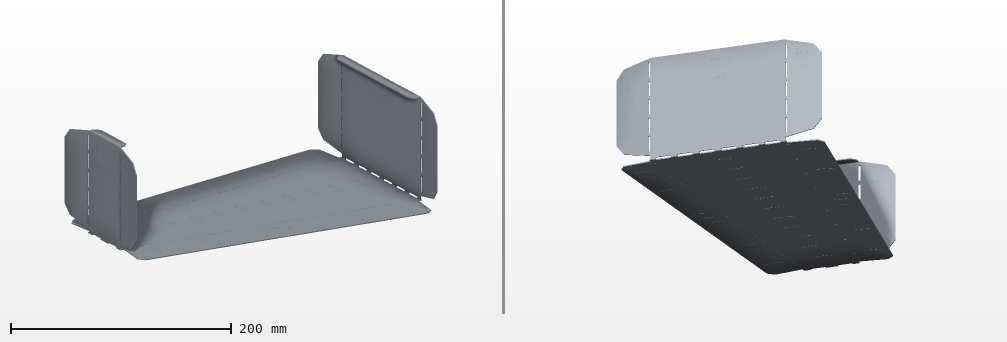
import cadquery as cq
import math


THICKNESS = 1.0
KNOCKOUT_DEPTH = 0.1
TAPER = 7.5
SIN_TAPER = math.sin(math.radians(TAPER))
COS_TAPER = math.cos(math.radians(TAPER))
TAN_TAPER = math.tan(math.radians(TAPER))

OVERALL_WIDTH = 198.21
OVERALL_LENGTH = 303.96
OVERALL_HEIGHT = 99.66
WALL_HEIGHT = OVERALL_HEIGHT - KNOCKOUT_DEPTH

WING_WIDTH = 33.3
WIDE_HALF = OVERALL_WIDTH / 2 - WING_WIDTH * COS_TAPER
LENGTH = OVERALL_LENGTH - WING_WIDTH * SIN_TAPER
NARROW_HALF = WIDE_HALF - LENGTH * TAN_TAPER
HINGE_LENGTH = LENGTH / COS_TAPER
HINGE_MIDDLE_X = (WIDE_HALF + NARROW_HALF) / 2

SLIT_WIDTH = 2.0
SLIT_LENGTH = 14.5
SLIT_PITCH = 18.0
WIDE_FOLD_SLIT_PITCH = 21.1
NARROW_FOLD_SLIT_PITCH = 26.4
WING_SLIT_COUNT = 5
FLANGE_SLIT_COUNT = 16
WIDE_FOLD_SLIT_COUNT = 6
NARROW_FOLD_SLIT_COUNT = 2

SLOT_LENGTH = 20.0
SHORT_SLOT_LENGTH = 12.5
SLOT_WIDTH = 7.0

WING_MIDDLE_Z = 51.7
WING_ROOT_HALF = 47.6
WING_SHOULDER_HALF = 41.4
WING_TIP_HALF = 31.8
WING_CORNER = 7.6
WING_SLOT_OFFSET = 18.5
WING_LEVEL_SLOT_Z = 82.0
WING_UPRIGHT_SLOT_Z = 65.8

WINDOW_WIDTH = 25.0
WINDOW_HEIGHT = 10.0
WINDOW_Z = 84.5
WALL_SLOT_Z = 68.3
LIP_DEPTH = 10.0
LIP_CHAMFER = 5.0

FLANGE_END_GAP = 4.0
FLANGE_CORNER_WIDTH = 5.5
FLANGE_CORNER_LENGTH = 5.8
FLANGE_SLOT_OFFSET = 18.2
FLANGE_SLOT_POSITIONS = (-125.0, -75.0, 0.0, 75.0, 125.0)
SHORT_SLOT_SHIFT = 12.2
SHORT_SLOT_STAGGER = 3.3
CENTRE_SLOT_COUNT = 11
CENTRE_SLOT_PITCH = 25.0


def centred_positions(count, pitch):
    """Positions of a row of equally spaced features, centred on zero."""
    return [(i - (count - 1) / 2) * pitch for i in range(count)]


def slot(plane, x, y, length=SLOT_LENGTH, angle=0):
    """Round-ended slot body, as thick as the sheet."""
    return cq.Workplane(plane).center(x, y).slot2D(length, SLOT_WIDTH, angle).extrude(THICKNESS)


def rectangle(plane, x, y, width, height):
    """Rectangular body, as thick as the sheet."""
    return cq.Workplane(plane).center(x, y).rect(width, height).extrude(THICKNESS)


def group(bodies):
    """Separate bodies gathered into one object."""
    return cq.Workplane(obj=cq.Compound.makeCompound([body.val() for body in bodies]))


def push_knockouts(sheet, blanks, direction):
    """Shift each blank part-way out of the sheet, leaving it attached by its rim."""
    blank_group = group(blanks)
    return sheet.cut(blank_group).union(blank_group.translate(direction * KNOCKOUT_DEPTH))


def both_sides(body):
    """The body together with its mirror image across the YZ plane."""
    return [body, body.mirror("YZ")]



def folded_band(half_width, tilt):
    """Centre panel and both wings as one strip; a positive tilt folds the wings inward."""
    angle = math.radians(tilt)
    tip_x = half_width + WING_WIDTH * math.cos(angle)
    tip_y = -WING_WIDTH * math.sin(angle)
    inner_tip_x = tip_x - THICKNESS * math.sin(angle)
    inner_tip_y = tip_y - THICKNESS * math.cos(angle)
    inner_fold_x = half_width - THICKNESS * math.tan(angle / 2)
    right_side = [
        (half_width, 0),
        (tip_x, tip_y),
        (inner_tip_x, inner_tip_y),
        (inner_fold_x, -THICKNESS),
    ]
    left_side = [(-x, y) for x, y in reversed(right_side)]
    return cq.Workplane("XY").polyline(right_side + left_side).close().extrude(WALL_HEIGHT)


def wall_silhouette(half_width):
    """Outline of the end wall seen along Y, as a deep block."""
    block_depth = 2 * WING_WIDTH
    tip_x = half_width + WING_WIDTH * COS_TAPER + THICKNESS * SIN_TAPER
    shoulder_x = tip_x - WING_CORNER
    panel_half = half_width - SLIT_WIDTH / 2
    wing_points = [
        (panel_half, -WING_ROOT_HALF),
        (shoulder_x, -WING_SHOULDER_HALF),
        (tip_x, -WING_TIP_HALF),
        (tip_x, WING_TIP_HALF),
        (shoulder_x, WING_SHOULDER_HALF),
        (panel_half, WING_ROOT_HALF),
    ]
    left_points = [(-x, z) for x, z in reversed(wing_points)]
    wings = (
        cq.Workplane("XZ")
        .center(0, WING_MIDDLE_Z)
        .polyline(wing_points + left_points)
        .close()
        .extrude(block_depth / 2, both=True)
    )
    panel = cq.Workplane("XY").box(2 * panel_half, block_depth, WALL_HEIGHT, centered=(True, True, False))
    return wings.union(panel)


def wing_slits(half_width):
    """Perforations along the two wing folds."""
    slit = cq.Workplane("XY").box(SLIT_WIDTH, 4 * THICKNESS, SLIT_LENGTH)
    slits = []
    for offset in centred_positions(WING_SLIT_COUNT, SLIT_PITCH):
        for x in (-half_width, half_width):
            slits.append(slit.translate((x, 0, WING_MIDDLE_Z + offset)))
    return group(slits)


def top_lip(half_width):
    """Lip folded inward along the top of the wall, with its free corners cut."""
    panel_half = half_width - SLIT_WIDTH / 2
    points = [
        (-panel_half, 0),
        (-panel_half, LIP_CHAMFER - LIP_DEPTH),
        (LIP_CHAMFER - panel_half, -LIP_DEPTH),
        (panel_half - LIP_CHAMFER, -LIP_DEPTH),
        (panel_half, LIP_CHAMFER - LIP_DEPTH),
        (panel_half, 0),
    ]
    lip = cq.Workplane("XY").workplane(offset=WALL_HEIGHT - THICKNESS)
    return lip.polyline(points).close().extrude(THICKNESS)


def end_wall(half_width, tilt):
    """Complete end wall: panel, wings, lip and knockouts pushed toward the tray."""
    wall = folded_band(half_width, tilt).intersect(wall_silhouette(half_width))
    wall = wall.cut(wing_slits(half_width)).union(top_lip(half_width))

    panel_plane = cq.Plane(origin=(0, 0, 0), xDir=(1, 0, 0), normal=(0, -1, 0))
    panel_blanks = [
        rectangle(panel_plane, 0, WINDOW_Z, WINDOW_WIDTH, WINDOW_HEIGHT),
        slot(panel_plane, 0, WALL_SLOT_Z),
    ]
    wall = push_knockouts(wall, panel_blanks, panel_plane.zDir)

    cosine = math.cos(math.radians(tilt))
    sine = math.sin(math.radians(tilt))
    for side in (1, -1):
        wing_plane = cq.Plane(
            origin=(side * half_width, 0, 0),
            xDir=(cosine, -side * sine, 0),
            normal=(-side * sine, -cosine, 0),
        )
        wing_blanks = [
            slot(wing_plane, side * WING_SLOT_OFFSET, WING_LEVEL_SLOT_Z),
            slot(wing_plane, side * WING_SLOT_OFFSET, WING_UPRIGHT_SLOT_Z, angle=90),
        ]
        wall = push_knockouts(wall, wing_blanks, wing_plane.zDir)
    return wall



def centre_panel():
    """Trapezoid between the two hinge lines."""
    points = [
        (WIDE_HALF, LENGTH / 2),
        (NARROW_HALF, -LENGTH / 2),
        (-NARROW_HALF, -LENGTH / 2),
        (-WIDE_HALF, LENGTH / 2),
    ]
    return cq.Workplane("XY").polyline(points).close().extrude(THICKNESS)


def flange(hinge):
    """Side flange with cut outer corners, reaching a little past the hinge into the panel."""
    end_y = HINGE_LENGTH / 2 - FLANGE_END_GAP
    corner_x = WING_WIDTH - FLANGE_CORNER_WIDTH
    corner_y = end_y - FLANGE_CORNER_LENGTH
    points = [
        (-SLIT_WIDTH, -end_y),
        (corner_x, -end_y),
        (WING_WIDTH, -corner_y),
        (WING_WIDTH, corner_y),
        (corner_x, end_y),
        (-SLIT_WIDTH, end_y),
    ]
    return cq.Workplane(hinge).polyline(points).close().extrude(THICKNESS)


def flange_blanks(hinge):
    """Knockouts of one flange: its slots and the perforations along its hinge."""
    blanks = [slot(hinge, FLANGE_SLOT_OFFSET, y) for y in FLANGE_SLOT_POSITIONS]
    for sign in (1, -1):
        x = FLANGE_SLOT_OFFSET + sign * SHORT_SLOT_STAGGER
        blanks.append(slot(hinge, x, sign * SHORT_SLOT_SHIFT, SHORT_SLOT_LENGTH))
    for y in centred_positions(FLANGE_SLIT_COUNT, SLIT_PITCH):
        blanks.append(rectangle(hinge, 0, y, SLIT_WIDTH, SLIT_LENGTH))
    return blanks


def bottom_plate():
    hinge = cq.Plane(
        origin=(HINGE_MIDDLE_X, 0, 0),
        xDir=(COS_TAPER, -SIN_TAPER, 0),
        normal=(0, 0, 1),
    )
    plate = centre_panel()
    for side_flange in both_sides(flange(hinge)):
        plate = plate.union(side_flange)

    base = cq.Plane.XY()
    blanks = [slot(base, 0, y) for y in centred_positions(CENTRE_SLOT_COUNT, CENTRE_SLOT_PITCH)]
    for blank in flange_blanks(hinge):
        blanks += both_sides(blank)
    return push_knockouts(plate, blanks, cq.Vector(0, 0, -1))


def fold_slits(wall_y, count, pitch):
    """Perforations along a plate-to-wall fold, one slit width deep into each sheet."""
    slit = cq.Workplane("XY").box(SLIT_LENGTH, 2 * SLIT_WIDTH, 2 * SLIT_WIDTH)
    return group([slit.translate((x, wall_y, 0)) for x in centred_positions(count, pitch)])


wide_wall = end_wall(WIDE_HALF, TAPER).translate((0, LENGTH / 2, 0))
narrow_wall = (
    end_wall(NARROW_HALF, -TAPER)
    .rotate((0, 0, 0), (0, 0, 1), 180)
    .translate((0, -LENGTH / 2, 0))
)
result = (
    bottom_plate()
    .union(wide_wall)
    .union(narrow_wall)
    .cut(fold_slits(LENGTH / 2, WIDE_FOLD_SLIT_COUNT, WIDE_FOLD_SLIT_PITCH))
    .cut(fold_slits(-LENGTH / 2, NARROW_FOLD_SLIT_COUNT, NARROW_FOLD_SLIT_PITCH))
)